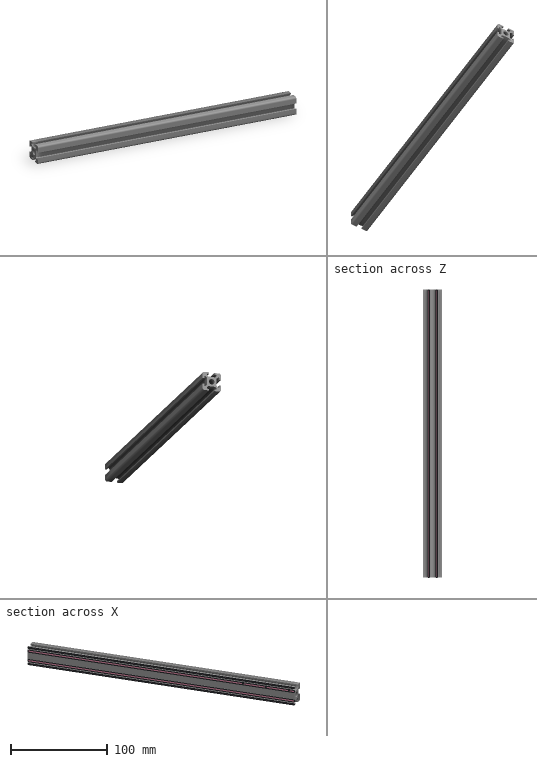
import cadquery as cq

length = 300.0
width = 20.0
corner_radius = 1.92
slot_opening = 6.0
lip_thickness = 1.8
pocket_width = 10.8
core_width = 10.5
web_offset = 1.5
bore_diameter = 6.0

half_width = width / 2
half_core = core_width / 2
half_opening = slot_opening / 2
half_pocket = pocket_width / 2
lip_inner = half_width - lip_thickness


def make_bar():
    """Square bar along Y, with its four long edges rounded."""
    bar = cq.Workplane("XY").box(width, length, width)
    return bar.edges("|Y").fillet(corner_radius)


def make_slot():
    """T-slot cutter for the +Z side, narrowing between the diagonal webs down to the core."""
    right_side = [
        (half_opening, half_width),
        (half_opening, lip_inner),
        (half_pocket, lip_inner),
        (half_pocket, half_pocket + web_offset),
        (half_core - web_offset, half_core),
    ]
    left_side = [(-x, z) for x, z in reversed(right_side)]
    outline = cq.Workplane("XZ").polyline(right_side + left_side).close()
    return outline.extrude(length / 2, both=True)


def make_bore():
    """Round hole through the whole length of the core."""
    return cq.Workplane("XZ").circle(bore_diameter / 2).extrude(length / 2, both=True)


result = make_bar().cut(make_bore())
slot = make_slot()
for angle in (0, 90, 180, 270):
    result = result.cut(slot.rotate((0, 0, 0), (0, 1, 0), angle))